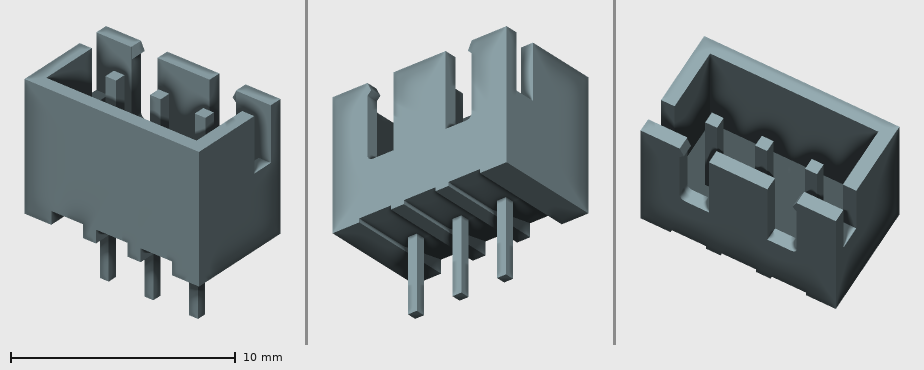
import cadquery as cq

WIDTH = 9.96
DEPTH = 5.8
TOTAL_HEIGHT = 10.8
TAIL_DROP = 3.78
HEIGHT = TOTAL_HEIGHT - TAIL_DROP
WALL = 0.69
FLOOR_TOP = 1.5
BACK = DEPTH / 2
FRONT = -DEPTH / 2

PITCH = 2.55
CONTACT_XS = [-PITCH, 0, PITCH]
POST_SIZE = 0.6
POST_Y = 0.51
POST_TOP = 6.5
TAIL_SIZE = 0.51
JOINT_Z = 1.0

SIDE_SLOT_LENGTH = 1.18
SIDE_SLOT_DEPTH = 3.0

PANEL_HALF_WIDTH = 1.49
TAB_INNER_X = 2.98
BACK_SLOT_BOTTOM = 3.0
SLOT_FILLET = 0.3

BUMP_REACH = 0.22
BUMP_APEX_DROP = 0.45
BUMP_HEIGHT = 0.67
BUMP_INSET = 0.04

NOTCH_WIDTH = 1.8
NOTCH_FRONT_HEIGHT = 0.72
NOTCH_BACK_HEIGHT = 0.2


def box(x_min, x_max, y_min, y_max, z_min, z_max):
    """Axis-aligned block between the given limits."""
    size = (x_max - x_min, y_max - y_min, z_max - z_min)
    return cq.Workplane("XY").box(*size, centered=False).translate((x_min, y_min, z_min))


def square_bar(x, y, size, z_min, z_max):
    """Upright square bar centred at (x, y)."""
    half = size / 2
    return box(x - half, x + half, y - half, y + half, z_min, z_max)


def post(x):
    return square_bar(x, POST_Y, POST_SIZE, JOINT_Z, POST_TOP)


def tail(x):
    return square_bar(x, 0, TAIL_SIZE, -TAIL_DROP, JOINT_Z)


def back_slot(side):
    """Back wall slot on one side (-1 or 1), rounded at the foot of the tab."""
    x_limits = sorted((side * PANEL_HALF_WIDTH, side * TAB_INNER_X))
    slot = box(*x_limits, BACK - WALL, BACK, BACK_SLOT_BOTTOM, HEIGHT)
    foot_edge = cq.selectors.NearestToPointSelector((side * TAB_INNER_X, BACK - WALL / 2, BACK_SLOT_BOTTOM))
    return slot.edges(foot_edge).fillet(SLOT_FILLET)


def latch_bump(side):
    """Triangular ridge on the inner edge of one latch tab."""
    return (
        cq.Workplane("XZ", origin=(0, BACK, 0))
        .moveTo(side * TAB_INNER_X, HEIGHT)
        .lineTo(side * (TAB_INNER_X - BUMP_REACH), HEIGHT - BUMP_APEX_DROP)
        .lineTo(side * TAB_INNER_X, HEIGHT - BUMP_HEIGHT)
        .close()
        .extrude(WALL - BUMP_INSET)
    )


def floor_notch(x):
    """Notch from front to back whose ceiling slopes down to the tail, then runs level."""
    return (
        cq.Workplane("YZ", origin=(x - NOTCH_WIDTH / 2, 0, 0))
        .moveTo(FRONT, 0)
        .lineTo(BACK, 0)
        .lineTo(BACK, NOTCH_BACK_HEIGHT)
        .lineTo(-TAIL_SIZE / 2, NOTCH_BACK_HEIGHT)
        .lineTo(FRONT, NOTCH_FRONT_HEIGHT)
        .close()
        .extrude(NOTCH_WIDTH)
    )


def make_housing():
    body = box(-WIDTH / 2, WIDTH / 2, FRONT, BACK, 0, HEIGHT)
    inner_x = WIDTH / 2 - WALL
    body = body.cut(box(-inner_x, inner_x, FRONT + WALL, BACK - WALL, FLOOR_TOP, HEIGHT))

    slot_back = BACK - WALL
    slot_front = slot_back - SIDE_SLOT_LENGTH
    body = body.cut(box(-WIDTH / 2, WIDTH / 2, slot_front, slot_back, HEIGHT - SIDE_SLOT_DEPTH, HEIGHT))

    for side in (-1, 1):
        body = body.cut(back_slot(side)).union(latch_bump(side))
    for x in CONTACT_XS:
        body = body.cut(floor_notch(x)).cut(post(x)).cut(tail(x))
    return body


housing = make_housing()
posts = [post(x).val() for x in CONTACT_XS]
tails = [tail(x).val() for x in CONTACT_XS]

result = cq.Compound.makeCompound([housing.val(), *posts, *tails])